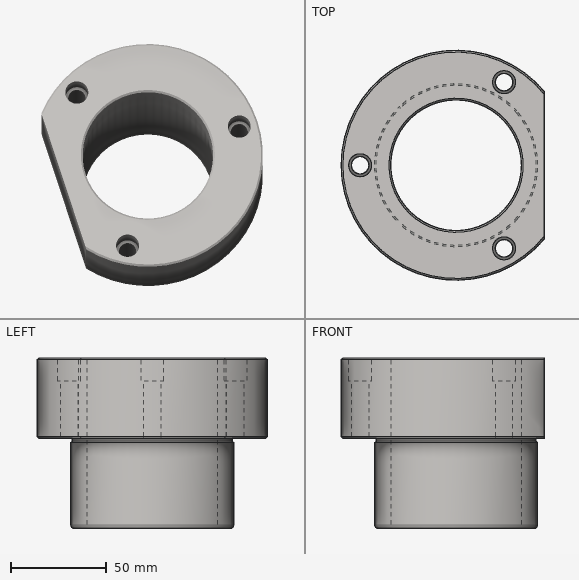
import cadquery as cq

flange_diameter = 119.9
flange_height = 42.0
overall_height = 89.0
flat_offset = 46.0
flange_chamfer = 1.0

spigot_diameter = 85.0
spigot_end_fillet = 1.9

relief_diameter = 83.4
relief_height = 2.0
relief_fillet = 0.7

bore_diameter = 68.0
bore_chamfer = 1.0

bolt_circle_radius = 50.0
bolt_count = 3
first_bolt_angle = 60.0
bolt_hole_diameter = 9.0
counterbore_diameter = 12.0
counterbore_depth = 12.0

flange_bottom = overall_height - flange_height
spigot_height = flange_bottom - relief_height


def cylinder(diameter, bottom, height):
    return cq.Workplane("XY").workplane(offset=bottom).circle(diameter / 2).extrude(height)


def make_flange():
    """Disc with chamfered rims, cut by one flat."""
    disc = cylinder(flange_diameter, flange_bottom, flange_height)
    disc = disc.faces("<Z or >Z").edges().chamfer(flange_chamfer)
    beyond_flat = (
        cq.Workplane("XY")
        .box(flange_diameter, flange_diameter, overall_height, centered=(False, True, False))
        .translate((flat_offset, 0, 0))
    )
    return disc.cut(beyond_flat)


def make_spigot():
    """Locating cylinder with a rounded end and a relief groove under the flange."""
    spigot = cylinder(spigot_diameter, 0, spigot_height).faces("<Z").edges().fillet(spigot_end_fillet)
    relief = cylinder(relief_diameter, spigot_height, relief_height)
    hollow_profile = (
        cq.Workplane("XZ")
        .moveTo(relief_diameter / 2, spigot_height)
        .lineTo(relief_diameter / 2 + relief_fillet, spigot_height)
        .radiusArc((relief_diameter / 2, spigot_height + relief_fillet), relief_fillet)
        .lineTo(0, spigot_height + relief_fillet)
        .lineTo(0, spigot_height)
        .close()
    )
    hollow = hollow_profile.revolve(360, (0, 0, 0), (0, 1, 0))
    return spigot.union(relief).union(hollow)


def cut_bore(body):
    """Through bore, chamfered at the flange mouth."""
    body = body.cut(cylinder(bore_diameter, 0, overall_height))
    mouth = cq.Workplane(
        cq.Solid.makeCone(
            bore_diameter / 2,
            bore_diameter / 2 + bore_chamfer,
            bore_chamfer,
            pnt=cq.Vector(0, 0, overall_height - bore_chamfer),
        )
    )
    return body.cut(mouth)


def cut_bolt_holes(body):
    """Counterbored holes evenly spaced on the bolt circle."""
    return (
        body.faces(">Z")
        .workplane(origin=(0, 0, overall_height))
        .polarArray(bolt_circle_radius, first_bolt_angle, 360, bolt_count)
        .cboreHole(bolt_hole_diameter, counterbore_diameter, counterbore_depth)
    )


result = cut_bolt_holes(cut_bore(make_flange().union(make_spigot())))